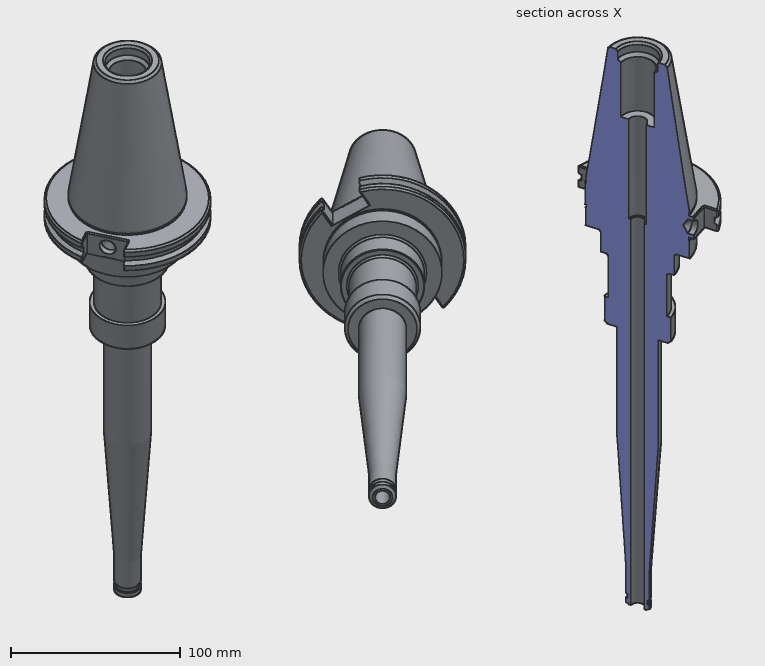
import cadquery as cq
import math

LENGTH = 402.5
FLANGE_DIA = 98.0

GAUGE_Z = 301.0
FLANGE_TOP_Z = 297.8
FLANGE_BOTTOM_Z = 281.5
BODY_BOTTOM_Z = 266.5
STEP_BOTTOM_Z = 250.5
NECK_BOTTOM_Z = 219.5
COLLAR_BOTTOM_Z = 199.5
SHANK_BOTTOM_Z = 121.5
NOSE_TOP_Z = 27.5

TAPER_TOP_DIA = 40.2
BODY_DIA = 70.0
STEP_DIA = 49.5
NECK_DIA = 40.0
COLLAR_DIA = 44.5
SHANK_DIA = 28.0
NOSE_DIA = 16.0
TIP_DIA = 11.5

TAPER_TOP_CHAMFER = 1.5
FLANGE_CHAMFER = 1.2
STEP_CHAMFER = 0.5
COLLAR_CHAMFER = 2.0
TIP_CHAMFER_HEIGHT = 1.2
CORNER_CHAMFER = 1.2

UNDERCUT_DEPTH = 0.5
UPPER_UNDERCUT_HEIGHT = 1.2
LOWER_UNDERCUT_HEIGHT = 2.0

GRIP_DEPTH = 3.0
GRIP_WIDTH = 7.0
GRIP_FLOOR = 3.5

RING_BOTTOM_Z = 4.5
RING_FLOOR = 2.5
RING_WIDTH = 3.5
RING_DIA = 13.5

MOUTH_DIA = 29.0
MOUTH_DEPTH = 1.5
BORE_DIA = 26.5
BORE_DEPTH = 7.0
BORE_CONE_DEPTH = 2.0
THREAD_DIA = 22.0
THREAD_DEPTH = 48.3
COOLANT_TOP_DIA = 11.5
COOLANT_TOP_DEPTH = 120.7
COOLANT_DIA = 9.0

SLOT_WIDTH = 25.5
SLOT_CHAMFER = 1.0
FRONT_SLOT_Y = 38.0
BACK_SLOT_Y = 35.5
CHIP_HOLE_DIA = 10.0
CHIP_HOLE_DEPTH = 4.0
DRILL_POINT_ANGLE = 118.0

FLANGE_MID_Z = (FLANGE_TOP_Z + FLANGE_BOTTOM_Z) / 2


def turn(half_profile):
    """Solid made by turning (radius, height) points round the Z axis."""
    return cq.Workplane("XZ").polyline(half_profile).close().revolve(360, (0, 0), (0, 1))


def turned_body():
    """Outer shape from the nose tip to the top of the taper."""
    flange_r = FLANGE_DIA / 2
    body_r = BODY_DIA / 2
    step_r = STEP_DIA / 2
    neck_r = NECK_DIA / 2
    nose_r = NOSE_DIA / 2
    undercut_r = body_r - UNDERCUT_DEPTH
    return turn([
        (0, 0),
        (TIP_DIA / 2, 0),
        (nose_r, TIP_CHAMFER_HEIGHT),
        (nose_r, RING_BOTTOM_Z),
        (RING_DIA / 2, RING_BOTTOM_Z),
        (RING_DIA / 2, RING_BOTTOM_Z + RING_FLOOR),
        (nose_r, RING_BOTTOM_Z + RING_WIDTH),
        (nose_r, NOSE_TOP_Z),
        (SHANK_DIA / 2, SHANK_BOTTOM_Z),
        (SHANK_DIA / 2, COLLAR_BOTTOM_Z),
        (COLLAR_DIA / 2 - COLLAR_CHAMFER, COLLAR_BOTTOM_Z),
        (COLLAR_DIA / 2, COLLAR_BOTTOM_Z + COLLAR_CHAMFER),
        (COLLAR_DIA / 2, NECK_BOTTOM_Z),
        (neck_r, NECK_BOTTOM_Z),
        (neck_r, STEP_BOTTOM_Z - CORNER_CHAMFER),
        (neck_r + CORNER_CHAMFER, STEP_BOTTOM_Z),
        (step_r - STEP_CHAMFER, STEP_BOTTOM_Z),
        (step_r, STEP_BOTTOM_Z + STEP_CHAMFER),
        (step_r, BODY_BOTTOM_Z - CORNER_CHAMFER),
        (step_r + CORNER_CHAMFER, BODY_BOTTOM_Z),
        (body_r, BODY_BOTTOM_Z),
        (body_r, FLANGE_BOTTOM_Z - LOWER_UNDERCUT_HEIGHT),
        (undercut_r, FLANGE_BOTTOM_Z - LOWER_UNDERCUT_HEIGHT),
        (undercut_r, FLANGE_BOTTOM_Z),
        (flange_r - FLANGE_CHAMFER, FLANGE_BOTTOM_Z),
        (flange_r, FLANGE_BOTTOM_Z + FLANGE_CHAMFER),
        (flange_r, FLANGE_MID_Z - GRIP_WIDTH / 2),
        (flange_r - GRIP_DEPTH, FLANGE_MID_Z - GRIP_FLOOR / 2),
        (flange_r - GRIP_DEPTH, FLANGE_MID_Z + GRIP_FLOOR / 2),
        (flange_r, FLANGE_MID_Z + GRIP_WIDTH / 2),
        (flange_r, FLANGE_TOP_Z - FLANGE_CHAMFER),
        (flange_r - FLANGE_CHAMFER, FLANGE_TOP_Z),
        (undercut_r, FLANGE_TOP_Z),
        (undercut_r, FLANGE_TOP_Z + UPPER_UNDERCUT_HEIGHT),
        (body_r, FLANGE_TOP_Z + UPPER_UNDERCUT_HEIGHT),
        (body_r, GAUGE_Z),
        (TAPER_TOP_DIA / 2, LENGTH - TAPER_TOP_CHAMFER),
        (TAPER_TOP_DIA / 2 - TAPER_TOP_CHAMFER, LENGTH),
        (0, LENGTH),
    ])


def stepped_bore():
    """Axial bore: mouth, pilot bore, cone, thread bore and coolant hole through to the tip."""
    cone_z = LENGTH - BORE_DEPTH
    thread_z = LENGTH - THREAD_DEPTH
    coolant_z = LENGTH - COOLANT_TOP_DEPTH
    return turn([
        (0, 0),
        (COOLANT_DIA / 2, 0),
        (COOLANT_DIA / 2, coolant_z),
        (COOLANT_TOP_DIA / 2, coolant_z),
        (COOLANT_TOP_DIA / 2, thread_z),
        (THREAD_DIA / 2, thread_z),
        (THREAD_DIA / 2, cone_z - BORE_CONE_DEPTH),
        (BORE_DIA / 2, cone_z),
        (BORE_DIA / 2, LENGTH - MOUTH_DEPTH),
        (MOUTH_DIA / 2, LENGTH),
        (0, LENGTH),
    ])


def drive_slot(floor_y):
    """Slot through the flange on the -Y side, its walls chamfered at both faces and at the rim."""
    half_width = SLOT_WIDTH / 2
    flared = half_width + SLOT_CHAMFER
    rim_y = math.sqrt((FLANGE_DIA / 2) ** 2 - flared ** 2)
    outer_y = FLANGE_DIA / 2 + SLOT_CHAMFER
    section = [
        (-flared, FLANGE_BOTTOM_Z),
        (flared, FLANGE_BOTTOM_Z),
        (half_width, FLANGE_BOTTOM_Z + SLOT_CHAMFER),
        (half_width, FLANGE_TOP_Z - SLOT_CHAMFER),
        (flared, FLANGE_TOP_Z),
        (-flared, FLANGE_TOP_Z),
        (-half_width, FLANGE_TOP_Z - SLOT_CHAMFER),
        (-half_width, FLANGE_BOTTOM_Z + SLOT_CHAMFER),
    ]
    slot = cq.Workplane("XZ", (0, -floor_y, 0)).polyline(section).close().extrude(outer_y - floor_y)
    mouth_x = flared + outer_y - rim_y
    rim_flare = [
        (-half_width, SLOT_CHAMFER - rim_y),
        (half_width, SLOT_CHAMFER - rim_y),
        (mouth_x, -outer_y),
        (-mouth_x, -outer_y),
    ]
    mouth = cq.Workplane("XY", (0, 0, FLANGE_BOTTOM_Z)).polyline(rim_flare).close()
    return slot.union(mouth.extrude(FLANGE_TOP_Z - FLANGE_BOTTOM_Z))


def front_floor_chamfer():
    """Wedge that breaks the upper edge of the -Y slot floor."""
    wedge = [
        (-FRONT_SLOT_Y, FLANGE_TOP_Z),
        (SLOT_CHAMFER - FRONT_SLOT_Y, FLANGE_TOP_Z),
        (-FRONT_SLOT_Y, FLANGE_TOP_Z - SLOT_CHAMFER),
    ]
    return cq.Workplane("YZ").polyline(wedge).close().extrude(SLOT_WIDTH / 2, both=True)


def chip_hole():
    """Drilled blind hole in the floor of the -Y slot."""
    radius = CHIP_HOLE_DIA / 2
    point = radius / math.tan(math.radians(DRILL_POINT_ANGLE / 2))
    outline = [
        (0, -FRONT_SLOT_Y),
        (radius, -FRONT_SLOT_Y),
        (radius, CHIP_HOLE_DEPTH - FRONT_SLOT_Y),
        (0, CHIP_HOLE_DEPTH + point - FRONT_SLOT_Y),
    ]
    drill = cq.Workplane("XY").polyline(outline).close().revolve(360, (0, 0), (0, 1))
    return drill.translate((0, 0, FLANGE_MID_Z))


result = (
    turned_body()
    .cut(stepped_bore())
    .cut(drive_slot(FRONT_SLOT_Y))
    .cut(drive_slot(BACK_SLOT_Y).mirror("XZ"))
    .cut(front_floor_chamfer())
    .cut(chip_hole())
)